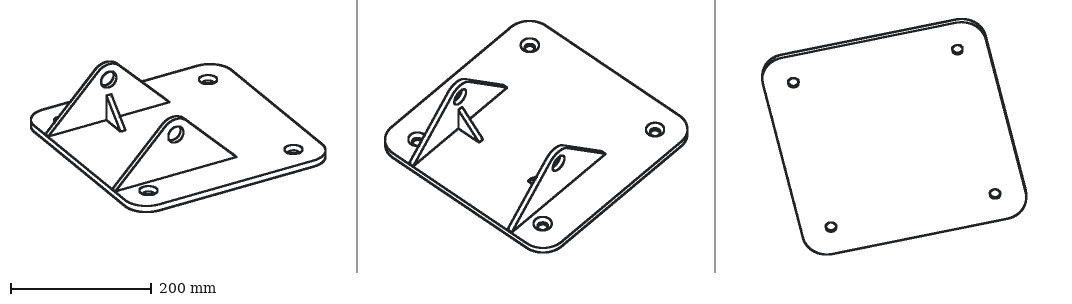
import cadquery as cq
import math

plate_side = 325.0
plate_thickness = 10.0
corner_radius = 35.0

hole_spacing = 239.2
hole_diameter = 15.0
countersink_diameter = 26.0
countersink_angle = 90

overall_height = 99.5
lug_thickness = 8.0
lug_inner_gap = 179.7
lug_base_length = 200.0
lug_front_inset = 1.0
lug_top_radius = 25.0
pin_diameter = 25.0
lug_front_y = -plate_side / 2 + lug_front_inset
lug_back_y = lug_front_y + lug_base_length
lug_center_y = (lug_front_y + lug_back_y) / 2
pin_z = overall_height - lug_top_radius

gusset_leg = 39.5
gusset_thickness = 8.0
left_gusset_y = lug_center_y
right_gusset_y = lug_center_y - gusset_thickness


def make_plate():
    """Rounded square plate standing on Z = 0, with four countersunk holes."""
    plate = cq.Workplane("XY").box(
        plate_side, plate_side, plate_thickness, centered=(True, True, False)
    )
    return (
        plate.edges("|Z").fillet(corner_radius)
        .faces(">Z").workplane()
        .rect(hole_spacing, hole_spacing, forConstruction=True)
        .vertices()
        .cskHole(hole_diameter, countersink_diameter, countersink_angle)
    )


def make_lug(start_x):
    """Lug filling start_x to start_x + lug_thickness."""
    tangent_offset = lug_top_radius * math.sqrt(0.5)
    tangent_z = pin_z + tangent_offset
    lug = (
        cq.Workplane("YZ", origin=(start_x, 0, 0))
        .moveTo(lug_front_y, plate_thickness)
        .lineTo(lug_back_y, plate_thickness)
        .lineTo(lug_center_y + tangent_offset, tangent_z)
        .threePointArc(
            (lug_center_y, overall_height),
            (lug_center_y - tangent_offset, tangent_z),
        )
        .close()
        .extrude(lug_thickness)
    )
    pin_hole = (
        cq.Workplane("YZ", origin=(start_x, lug_center_y, pin_z))
        .circle(pin_diameter / 2)
        .extrude(lug_thickness)
    )
    return lug.cut(pin_hole)


def make_gusset(side, center_y):
    """Gusset on the lug at the given side (-1 left, +1 right), pointing inward."""
    wall_x = side * lug_inner_gap / 2
    return (
        cq.Workplane("XZ", origin=(0, center_y, 0))
        .moveTo(wall_x, plate_thickness)
        .lineTo(wall_x, plate_thickness + gusset_leg)
        .lineTo(wall_x - side * gusset_leg, plate_thickness)
        .close()
        .extrude(gusset_thickness / 2, both=True)
    )


result = make_plate()
for lug_start_x in (-lug_inner_gap / 2 - lug_thickness, lug_inner_gap / 2):
    result = result.union(make_lug(lug_start_x))
for gusset_side, gusset_y in ((-1, left_gusset_y), (1, right_gusset_y)):
    result = result.union(make_gusset(gusset_side, gusset_y))